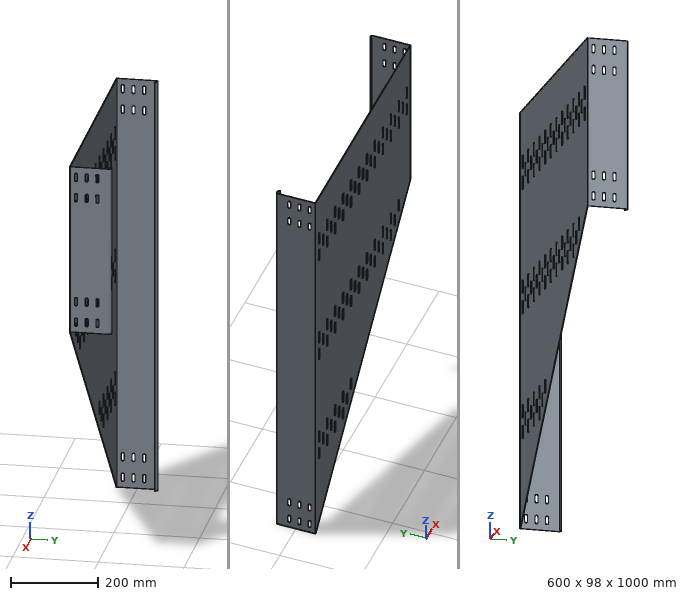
import cadquery as cq
import math

tray_width = 600.0
wall_height = 98.0
tray_length = 1000.0
sheet = 2.0

slant_start = 4.0
short_wall_bottom = tray_width - slant_start

rim_radius = 6.0
rim_lip = 5.0

slot_width = 7.0
slot_pitch = 50.0
half_pitch = slot_pitch / 2
along_z = 90
floor_slot_length = 32.0
first_row_depth = 125.0
group_spacing = 300.0
group_count = 3
rows_per_group = 3
staggered_row = 1
slanted_edge_margin = 45.0

wall_slot_length = 20.0
wall_slot_heights = (15.0, 40.0, 65.0)
wall_slot_end_distances = (half_pitch, half_pitch + slot_pitch)


def make_floor():
    return (
        cq.Workplane("XZ")
        .moveTo(0, 0)
        .lineTo(slant_start, 0)
        .lineTo(tray_width, short_wall_bottom)
        .lineTo(tray_width, tray_length)
        .lineTo(0, tray_length)
        .close()
        .extrude(-sheet)
    )


def make_left_wall(bottom):
    """Wall with its curled rim, standing at X = 0 from Z = bottom to the top end."""
    bend_height = wall_height - rim_radius
    diagonal = math.sqrt(0.5)
    return (
        cq.Workplane("XY", origin=(0, 0, bottom))
        .lineTo(0, bend_height)
        .threePointArc(
            (rim_radius, wall_height),
            (rim_radius + rim_radius * diagonal, bend_height + rim_radius * diagonal),
        )
        .line(rim_lip * diagonal, -rim_lip * diagonal)
        .line(-sheet * diagonal, -sheet * diagonal)
        .line(-rim_lip * diagonal, rim_lip * diagonal)
        .threePointArc((rim_radius, wall_height - sheet), (sheet, bend_height))
        .lineTo(sheet, 0)
        .close()
        .extrude(tray_length - bottom)
    )


def floor_slot_centres():
    """Slot centres (X, Z), leaving out those too close to the slanted edge."""
    centres = []
    for group in range(group_count):
        for row in range(rows_per_group):
            z = tray_length - first_row_depth - group * group_spacing - row * half_pitch
            x = slot_pitch if row == staggered_row else half_pitch
            while x < min(tray_width, z - slanted_edge_margin):
                centres.append((x, z))
                x += slot_pitch
    return centres


def make_floor_slots():
    return (
        cq.Workplane("XZ")
        .pushPoints(floor_slot_centres())
        .slot2D(floor_slot_length, slot_width, along_z)
        .extrude(-sheet)
    )


def make_left_wall_slots(bottom):
    """Cutters for both ends of a wall at X = 0 that spans Z = bottom to the top end."""
    centres = []
    for height in wall_slot_heights:
        for distance in wall_slot_end_distances:
            centres.append((height, bottom + distance))
            centres.append((height, tray_length - distance))
    return (
        cq.Workplane("YZ")
        .pushPoints(centres)
        .slot2D(wall_slot_length, slot_width, along_z)
        .extrude(sheet)
    )


def make_slotted_left_wall(bottom):
    return make_left_wall(bottom).cut(make_left_wall_slots(bottom))


slotted_floor = make_floor().cut(make_floor_slots())
long_wall = make_slotted_left_wall(0)
short_wall = make_slotted_left_wall(short_wall_bottom).mirror("YZ").translate((tray_width, 0, 0))

result = slotted_floor.union(long_wall).union(short_wall)